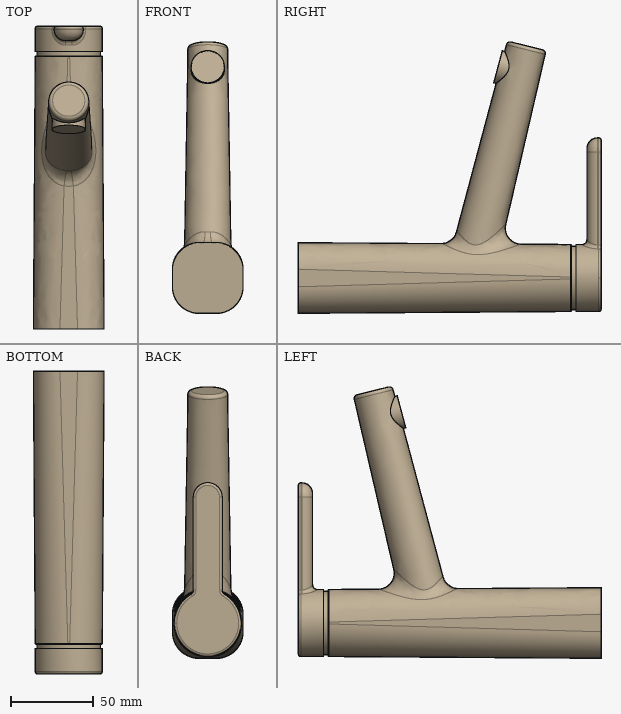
import cadquery as cq
import math

total_length = 183.8
front_width = 43.0
front_corner_radius = 16.2
rear_width = 40.8
rear_corner_radius = 19.9
body_length = 165.8
body_rear_chamfer = 0.5

groove_width = 2.5
groove_depth = 1.1
cap_diameter = 40.8
rear_edge_radius = 1.7
lever_width = 17.6
lever_thickness = 8.8
lever_front_radius = 6.6
lever_top = 85.1
lever_root_radius = 2.8
root_zone_height = 3.7

spout_lean = 14.0
spout_top_y = 138.6
spout_top_z = 140.8
spout_length = 143.4
spout_top_diameter = 24.3
spout_taper = 0.95
spout_top_radius = 2.4
spout_root_radius = 9.5

outlet_lean = 15.0
outlet_face_y = 121.2
outlet_face_z = 128.1
outlet_diameter = 20.2
outlet_depth = 11.0


def body_outline(width, corner_radius, y):
    block = cq.Workplane("XZ", origin=(0, y, 0)).rect(width, width).extrude(-1.8).edges("|Y").fillet(corner_radius)
    return block.faces("<Y").wires().val()


def make_body():
    front = body_outline(front_width, front_corner_radius, 0)
    rear = body_outline(rear_width, rear_corner_radius, body_length)
    shell = cq.Workplane(cq.Solid.makeLoft([front, rear], True))
    return shell.faces(">Y").edges().chamfer(body_rear_chamfer)


def make_spout():
    lean = math.radians(spout_lean)
    axis = cq.Vector(0, math.sin(lean), math.cos(lean))
    top = cq.Vector(0, spout_top_y, spout_top_z)
    top_radius = spout_top_diameter / 2
    base_radius = top_radius + spout_length * math.tan(math.radians(spout_taper))
    base = top - axis * spout_length
    top_edge = cq.selectors.NearestToPointSelector(top.toTuple())
    cone = cq.Solid.makeCone(base_radius, top_radius, spout_length, base, axis)
    return cq.Workplane(cone).edges(top_edge).fillet(spout_top_radius)


def make_outlet():
    lean = math.radians(outlet_lean)
    inward = cq.Vector(0, math.cos(lean), -math.sin(lean))
    face_center = cq.Vector(0, outlet_face_y, outlet_face_z)
    return cq.Workplane(cq.Solid.makeCylinder(outlet_diameter / 2, outlet_depth, face_center, inward))


def make_head():
    cap_front = body_length + groove_width
    lever_front = total_length - lever_thickness
    half = lever_width / 2
    cap_radius = cap_diameter / 2
    neck = cq.Workplane("XZ", origin=(0, body_length, 0)).circle(cap_radius - groove_depth).extrude(-groove_width)
    cap = cq.Workplane("XZ", origin=(0, cap_front, 0)).circle(cap_radius).extrude(cap_front - total_length)
    lever = (
        cq.Workplane("XZ", origin=(0, lever_front, 0))
        .moveTo(-half, 0)
        .lineTo(-half, lever_top - half)
        .threePointArc((0, lever_top), (half, lever_top - half))
        .lineTo(half, 0)
        .close()
        .extrude(-lever_thickness)
        .faces("<Y")
        .edges("not <Z")
        .fillet(lever_front_radius)
    )
    head = cap.union(lever)
    root_zone = cq.selectors.BoxSelector(
        (-lever_width, cap_front, cap_radius - root_zone_height),
        (lever_width, total_length, cap_radius + root_zone_height),
    )
    head = head.edges(root_zone).fillet(lever_root_radius)
    head = head.faces(">Y").edges().fillet(rear_edge_radius)
    return head.union(neck)


body = make_body().union(make_spout())
root_edges = cq.selectors.BoxSelector(
    (-front_width / 2, total_length / 2, front_width / 4),
    (front_width / 2, spout_top_y, front_width / 2),
)
body = body.edges(root_edges).fillet(spout_root_radius)
result = body.union(make_outlet()).union(make_head())